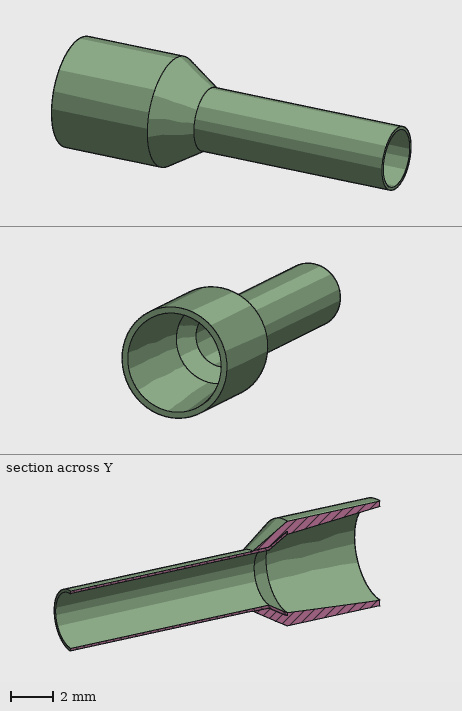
import cadquery as cq

total_length = 17.0
collar_length = 5.1
sleeve_length = 7.0
flare_length = 1.0
collar_radius = 2.7
mouth_radius = 2.4
throat_radius = 2.0
bore_radius = 1.4
wall = 0.15

tube_radius = bore_radius + wall
flare_radius = throat_radius + wall
flare_end = collar_length + flare_length


def revolve_about_x(points):
    """Turn a closed (x, radius) outline once around the X axis."""
    outline = cq.Workplane("XZ").polyline(points).close()
    return outline.revolve(360, (0, 0, 0), (1, 0, 0))


def make_sleeve():
    """Insulating sleeve: straight collar and cone, with a tapered bore and a seat for the flared tube."""
    return revolve_about_x([
        (0, mouth_radius),
        (0, collar_radius),
        (collar_length, collar_radius),
        (sleeve_length, tube_radius),
        (flare_end, tube_radius),
        (collar_length, flare_radius),
        (collar_length, throat_radius),
    ])


def make_tube():
    """Metal tube whose flared end is seated inside the cone of the sleeve."""
    return revolve_about_x([
        (collar_length, throat_radius),
        (collar_length, flare_radius),
        (flare_end, tube_radius),
        (total_length, tube_radius),
        (total_length, bore_radius),
        (flare_end, bore_radius),
    ])


sleeve = make_sleeve()
tube = make_tube()

result = cq.Compound.makeCompound([sleeve.val(), tube.val()])